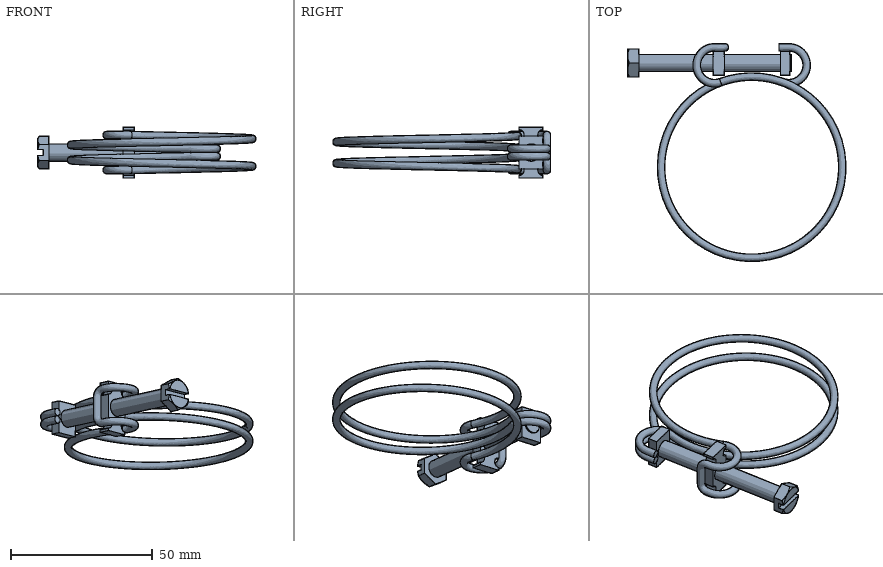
import cadquery as cq
import math


wire_diameter = 2.7
wire_radius = wire_diameter / 2
coil_outer_radius = 33.4
coil_radius = coil_outer_radius - wire_radius
joint_angle = 20.0
wire_back_y = 43.7
yoke_z = 6.2
hook_z = wire_radius
bend_radius = 2.7
crossbar_x = -9.5
hook_end_x = 9.6

straight_y = wire_back_y - wire_radius
joint_sine = math.sin(math.radians(joint_angle))
joint_cosine = math.cos(math.radians(joint_angle))
hook_radius = (straight_y - coil_radius * joint_cosine) / (1 + joint_cosine)
joint_x = coil_radius * joint_sine
joint_y = coil_radius * joint_cosine
hook_center_x = (coil_radius + hook_radius) * joint_sine
hook_center_y = straight_y - hook_radius

screw_y = 36.85
screw_diameter = 6.2
screw_start_x = -43.9
screw_end_x = 14.05
head_width = 10.05
head_thickness = 4.0
head_face_diameter = 9.9
head_chamfer_length = 0.6
slot_width = 2.0
slot_depth = 2.0

block_width = 8.5
wire_clearance = 0.04
block_center_y = straight_y - wire_radius - wire_clearance - block_width / 2
sliding_block_x = -13.7
sliding_block_length = 4.0
sliding_block_height = 18.0
groove_radius = 1.85
end_block_x = 10.1
end_block_length = 3.4
end_block_height = 11.6


def wire_section(x, y, z, direction):
    """Circle of the wire, centred on a point and square to a direction."""
    plane = cq.Plane(origin=(x, y, z), normal=direction)
    return cq.Workplane(plane).circle(wire_radius)


def hook_path(side, z, end_x):
    """Hook centreline from the coil joint to end_x; side is -1 (left) or 1 (right)."""
    return (
        cq.Workplane("XY", origin=(0, 0, z))
        .moveTo(side * joint_x, joint_y)
        .threePointArc(
            (side * (hook_center_x + hook_radius), hook_center_y),
            (side * hook_center_x, straight_y),
        )
        .lineTo(end_x, straight_y)
    )


def hook(side, z, end_x):
    """Wire bent from the coil joint around to its straight end behind a block."""
    section = wire_section(side * joint_x, joint_y, z, (side * joint_cosine, -joint_sine, 0))
    return section.sweep(hook_path(side, z, end_x))


def make_yoke():
    """Two left-hand hooks joined behind the sliding block by a crossbar."""
    bend_start_x = crossbar_x - bend_radius
    bend_end_z = yoke_z - bend_radius
    corner = bend_radius * math.sqrt(0.5)
    bar_path = (
        cq.Workplane("XZ", origin=(0, straight_y, 0))
        .moveTo(bend_start_x, yoke_z)
        .threePointArc((bend_start_x + corner, bend_end_z + corner), (crossbar_x, bend_end_z))
        .lineTo(crossbar_x, -bend_end_z)
        .threePointArc((bend_start_x + corner, -bend_end_z - corner), (bend_start_x, -yoke_z))
    )
    yoke = wire_section(bend_start_x, straight_y, yoke_z, (1, 0, 0)).sweep(bar_path)
    for z in (yoke_z, -yoke_z):
        yoke = yoke.union(hook(-1, z, bend_start_x))
    return yoke


def make_upper_coil_wire():
    """A little more than one turn, rising from the right-hand end hook to the yoke."""
    turn_angle = 360 + 2 * joint_angle
    rise = yoke_z - hook_z
    helix = cq.Wire.makeHelix(rise * 360 / turn_angle, rise, coil_radius)
    coil = (
        cq.Workplane("XZ")
        .center(coil_radius, 0)
        .circle(wire_radius)
        .sweep(cq.Workplane(helix), isFrenet=True)
        .rotate((0, 0, 0), (0, 0, 1), 90 - joint_angle)
        .translate((0, 0, hook_z))
    )
    return coil.union(hook(1, hook_z, hook_end_x))


def make_screw():
    """Slotted hex-head screw with its head at the -X end."""
    origin = (screw_start_x, screw_y, 0)
    corner_diameter = head_width / math.cos(math.radians(30))
    head = (
        cq.Workplane("YZ", origin=origin)
        .polygon(6, corner_diameter)
        .extrude(head_thickness)
        .rotate(origin, (screw_end_x, screw_y, 0), 90)
    )
    chamfer_cone = (
        cq.Workplane("XY", origin=origin)
        .lineTo(0, head_face_diameter / 2)
        .lineTo(head_chamfer_length, corner_diameter / 2)
        .lineTo(head_thickness, corner_diameter / 2)
        .lineTo(head_thickness, 0)
        .close()
        .revolve(360, (0, 0, 0), (1, 0, 0))
    )
    slot = cq.Workplane("XY", origin=origin).box(2 * slot_depth, corner_diameter, slot_width)
    shank = (
        cq.Workplane("YZ", origin=(screw_start_x + head_thickness, screw_y, 0))
        .circle(screw_diameter / 2)
        .extrude(screw_end_x - screw_start_x - head_thickness)
    )
    return head.intersect(chamfer_cone).cut(slot).union(shank)


def drilled_block(start_x, length, height):
    """Rectangular block with a bore that fits the screw."""
    blank = (
        cq.Workplane("YZ", origin=(start_x, block_center_y, 0))
        .rect(block_width, height)
        .extrude(length)
    )
    bore = (
        cq.Workplane("YZ", origin=(start_x, screw_y, 0))
        .circle(screw_diameter / 2)
        .extrude(length)
    )
    return blank.cut(bore)


def make_sliding_block():
    """Tall block with a half-round groove on each side at the height of each yoke arm."""
    grooves = (
        cq.Workplane("YZ", origin=(sliding_block_x, block_center_y, 0))
        .rect(block_width, 2 * yoke_z, forConstruction=True)
        .vertices()
        .circle(groove_radius)
        .extrude(sliding_block_length)
    )
    return drilled_block(sliding_block_x, sliding_block_length, sliding_block_height).cut(grooves)


screw = make_screw()
sliding_block = make_sliding_block()
end_block = drilled_block(end_block_x, end_block_length, end_block_height)
yoke = make_yoke()
upper_coil_wire = make_upper_coil_wire()
coil_wires = [upper_coil_wire, upper_coil_wire.mirror("XY")]

result = cq.Compound.makeCompound(
    [
        screw.val(),
        sliding_block.val(),
        end_block.val(),
        yoke.val(),
        *[coil_wire.val() for coil_wire in coil_wires],
    ]
)